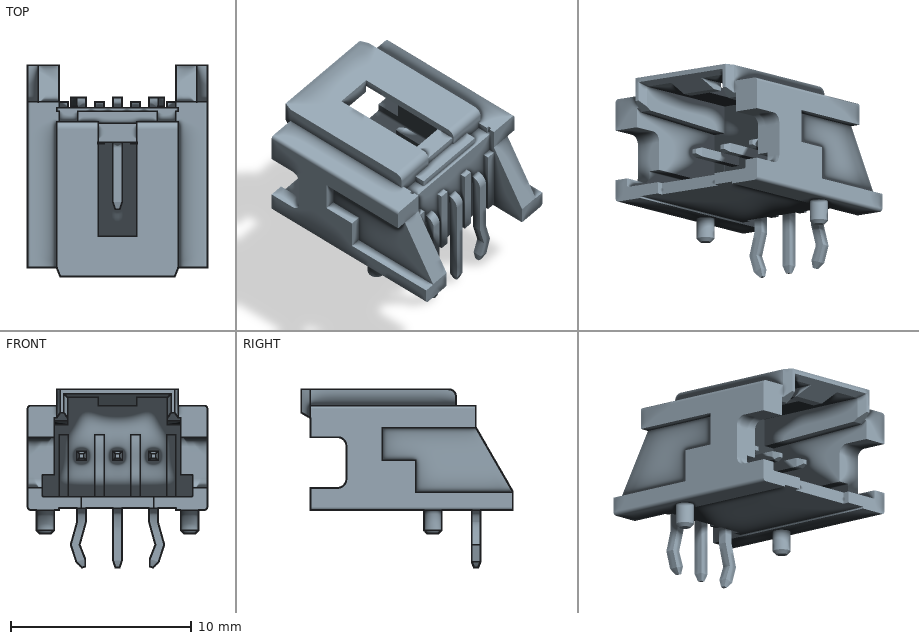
import cadquery as cq
import math


body_width = 10.0
body_depth = 11.75
body_height = 5.8
hood_top = 6.71
pin_bottom = -3.2

body_front = 0.5
shoulder_y = 9.7
shoulder_z = 4.58
leg_back_height = 1.03
edge_radius = 0.18
relief_half_width = 3.24
relief_depth = 0.1
rear_wall_back = 9.39

wall_front = 7.46
floor_z = 0.74
floor_half_width = 4.18
floor_slot_top = 1.95
floor_slot_radius = 0.09
channel_half_width = 3.5
channel_ceiling_front = 4.95
channel_ceiling_back = 4.72
floor_notch_half_width = 2.01
floor_notch_depth = 0.35

hood_half_width = 3.38
hood_back = 8.6
hood_radius = 0.4
hood_side_bottom = 5.4
hood_slope_depth = 0.8
hood_inner_half_width = 2.77
hood_ceiling = 6.25
mouth_flare = 0.2
slot_half_width = 1.07
slot_front = 2.26
ramp_bottom = 5.8
ramp_run = body_front * (hood_ceiling + mouth_flare - ramp_bottom) / mouth_flare

slot_floor_back = 8.52
ledge_z = 5.4
ledge_corner_depth = 0.19
step_half_width = 2.21
step_back = 9.2

side_notch_back = 2.5
side_notch_bottom = 1.23
side_notch_top = 4.04
side_notch_radius = 0.49
recess_depth = 0.59
recess_floor = 1.0
recess_step_z = 2.77
recess_front_upper = 4.5
recess_front_lower = 6.36

pitch = 2.0
rib_width = 0.5
rib_top = 4.18
rib_front = 7.38
pin_size = 0.5
pin_tip_size = 0.25
pin_z = 3.01
pin_front = 3.74
pin_taper = 0.4
pin_back = 9.96
pin_bend_radius = 0.59
kink_start = -0.66
kink_z = -1.93
kink_offset = 0.35
kink_taper_outer = (-0.29, -2.88)
kink_taper_inner = (0.21, -2.73)
kink_tip_x = 0.02
peg_diameter = 1.0
peg_length = 1.3
peg_chamfer = 0.19
peg_x = 4.01
peg_y = 7.31


def box(x0, x1, y0, y1, z0, z1):
    """Box between two corners."""
    return cq.Workplane("XY").box(x1 - x0, y1 - y0, z1 - z0, centered=False).translate((x0, y0, z0))


def centered_box(half_width, y0, y1, z0, z1):
    """Box that is symmetric about X = 0."""
    return box(-half_width, half_width, y0, y1, z0, z1)


def side_prism(points, half_width):
    """Prism along X from a (Y, Z) outline, symmetric about X = 0."""
    return cq.Workplane("YZ").polyline(points).close().extrude(half_width, both=True)


def frustum_y(center_x, center_z, y0, size0, y1, size1):
    """Square frustum along Y."""
    start = cq.Workplane("XZ", origin=(center_x, y0, center_z)).rect(size0, size0)
    return start.workplane(offset=y0 - y1).rect(size1, size1).loft(ruled=True)


def both_sides(shape):
    """The shape joined with its mirror image across X = 0."""
    return shape.union(shape.mirror("YZ"))


def make_body():
    half = body_width / 2
    body = centered_box(half, body_front, body_depth, 0, body_height).edges("|Y").fillet(edge_radius)
    outline = [
        (body_front, 0),
        (body_depth, 0),
        (body_depth, leg_back_height),
        (shoulder_y, shoulder_z),
        (shoulder_y, body_height),
        (body_front, body_height),
    ]
    body = body.intersect(side_prism(outline, half))
    body = body.cut(centered_box(relief_half_width, rear_wall_back, body_depth, 0, body_height))
    return body.cut(centered_box(relief_half_width, 0, body_depth, 0, relief_depth))


def make_side_recess():
    outline = [
        (body_depth, recess_floor),
        (recess_front_lower, recess_floor),
        (recess_front_lower, recess_step_z),
        (recess_front_upper, recess_step_z),
        (recess_front_upper, shoulder_z),
        (body_depth, shoulder_z),
    ]
    outer = side_prism(outline, body_width / 2)
    core = centered_box(body_width / 2 - recess_depth, 0, body_depth, 0, body_height)
    return outer.cut(core)


def make_side_notch():
    notch = centered_box(body_width / 2, 0, side_notch_back, side_notch_bottom, side_notch_top)
    return notch.edges("|X and >Y").fillet(side_notch_radius)


def make_hood():
    outline = [
        (0, hood_top),
        (0, hood_side_bottom),
        (hood_slope_depth, channel_ceiling_front),
        (hood_back, channel_ceiling_front),
        (hood_back, hood_top),
    ]
    hood = side_prism(outline, hood_half_width).edges("|X and >Y and >Z").fillet(hood_radius)
    front_half = hood_half_width - mouth_flare
    plan = [
        (-front_half, 0),
        (front_half, 0),
        (hood_half_width, body_front),
        (hood_half_width, hood_back),
        (-hood_half_width, hood_back),
        (-hood_half_width, body_front),
    ]
    return hood.intersect(cq.Workplane("XY").polyline(plan).close().extrude(hood_top))


def make_cavity():
    floor_slot = centered_box(floor_half_width, 0, wall_front, floor_z, floor_slot_top)
    floor_slot = floor_slot.edges("|Y and <Z").fillet(floor_slot_radius)
    floor_slot = floor_slot.edges("|Y and >Z").fillet(floor_slot_radius / 2)
    channel_outline = [
        (0, floor_z),
        (0, hood_side_bottom),
        (hood_slope_depth, channel_ceiling_front),
        (wall_front, channel_ceiling_back),
        (wall_front, floor_z),
    ]
    channel = side_prism(channel_outline, channel_half_width)
    hood_room = centered_box(hood_inner_half_width, 0, wall_front, floor_z, hood_ceiling)
    return floor_slot.union(channel).union(hood_room)


def make_mouth_flare():
    """Pyramid whose top and sides widen the hood opening toward the front."""
    mid_z = (floor_z + hood_ceiling) / 2
    width = 2 * hood_inner_half_width
    height = hood_ceiling - floor_z
    start = cq.Workplane("XZ", origin=(0, 0, mid_z)).rect(width + 2 * mouth_flare, height + 2 * mouth_flare)
    flare = start.workplane(offset=-body_front).rect(width, height).loft(ruled=True)
    return flare.intersect(centered_box(body_width, 0, body_front, floor_z, hood_top))


def make_latch_ramp():
    """Wedge under the hood lip that continues the flare plane down to the latch edge."""
    outline = [
        (0, hood_ceiling + mouth_flare),
        (ramp_run, ramp_bottom),
        (slot_front, ramp_bottom),
        (slot_front, hood_top),
        (0, hood_top),
    ]
    return side_prism(outline, slot_half_width)


def make_ledge_cut():
    """Lowered ledge behind the hood, leaving the raised step and two corner nicks."""
    ledge = centered_box(relief_half_width, hood_back, rear_wall_back, ledge_z, hood_top)
    nick_front = rear_wall_back - ledge_corner_depth
    ledge = ledge.union(centered_box(hood_half_width, nick_front, rear_wall_back, ledge_z, hood_top))
    return ledge.cut(centered_box(step_half_width, hood_back, step_back, ledge_z, body_height))


def make_hood_slot():
    """Slot along the hood top, open to the rear above the rear wall."""
    slot = centered_box(slot_half_width, slot_front, hood_back, hood_ceiling, hood_top)
    return slot.union(centered_box(slot_half_width, slot_floor_back, hood_back, body_height, hood_top))


def make_ribs():
    ribs = cq.Workplane("XY")
    for step in (-1.5, -0.5, 0.5, 1.5):
        x0 = step * pitch - rib_width / 2
        ribs = ribs.union(box(x0, x0 + rib_width, rib_front, shoulder_y, relief_depth, rib_top))
    return ribs


def make_contact(x):
    """Horizontal contact with a tapered front tip and a rounded bend at the back."""
    half = pin_size / 2
    top = pin_z + half
    blade_front = pin_front + pin_taper
    arm = box(x - half, x + half, blade_front, pin_back, pin_z - half, top)
    leg = box(x - half, x + half, pin_back - pin_size, pin_back, kink_start, top)
    contact = arm.union(leg).edges("|X and >Y and >Z").fillet(pin_bend_radius)
    return contact.union(frustum_y(x, pin_z, blade_front, pin_size, pin_front, pin_tip_size))


def make_leg(x, outline, taper_x, taper_z, tilt):
    """Leg below the housing from an (X, Z) outline centered on x.

    The end is narrowed along Y, starting at the line through (taper_x, taper_z) of the
    outline that is inclined by tilt degrees.
    """
    half = pin_size / 2
    tip_half = pin_tip_size / 2
    leg_mid = pin_back - half
    tip_z = taper_z - pin_taper
    taper_outline = [
        (leg_mid - half, 0),
        (leg_mid - half, taper_z),
        (leg_mid - tip_half, tip_z),
        (leg_mid + tip_half, tip_z),
        (leg_mid + half, taper_z),
        (leg_mid + half, 0),
    ]
    envelope = side_prism(taper_outline, body_width / 2)
    envelope = envelope.rotate((taper_x, 0, taper_z), (taper_x, -1, taper_z), tilt)
    leg = cq.Workplane("XZ", origin=(0, pin_back, 0)).polyline(outline).close().extrude(pin_size)
    return leg.intersect(envelope).translate((x, 0, 0))


def make_straight_leg():
    half = pin_size / 2
    tip_half = pin_tip_size / 2
    taper_z = pin_bottom + pin_taper
    outline = [
        (-half, 0),
        (-half, taper_z),
        (-tip_half, pin_bottom),
        (tip_half, pin_bottom),
        (half, taper_z),
        (half, 0),
    ]
    return make_leg(0, outline, 0, taper_z, 0)


def make_kinked_leg():
    """Leg at -X that bows outward and returns, with a slanted tip."""
    half = pin_size / 2
    outer_x, outer_z = kink_taper_outer
    inner_x, inner_z = kink_taper_inner
    outline = [
        (-half, 0),
        (-half, kink_start),
        (-half - kink_offset, kink_z),
        kink_taper_outer,
        (kink_tip_x, pin_bottom),
        (inner_x, pin_bottom),
        kink_taper_inner,
        (half - kink_offset, kink_z),
        (half, kink_start),
        (half, 0),
    ]
    slant = math.degrees(math.atan2(inner_z - outer_z, inner_x - outer_x))
    return make_leg(-pitch, outline, outer_x, outer_z, slant)


def make_peg():
    peg = cq.Workplane("XY", origin=(peg_x, peg_y, edge_radius)).circle(peg_diameter / 2)
    return peg.extrude(-peg_length - edge_radius).faces("<Z").chamfer(peg_chamfer)


housing = make_body().union(make_hood()).cut(make_cavity()).cut(make_mouth_flare())
housing = housing.cut(make_side_recess()).cut(make_side_notch())
housing = housing.cut(make_hood_slot()).cut(make_ledge_cut()).union(make_latch_ramp())
housing = housing.cut(
    centered_box(floor_notch_half_width, body_front, body_front + floor_notch_depth, 0, floor_z)
)
housing = housing.union(make_ribs()).union(both_sides(make_peg()))

for position in (-pitch, 0, pitch):
    housing = housing.union(make_contact(position))
result = housing.union(make_straight_leg()).union(both_sides(make_kinked_leg()))